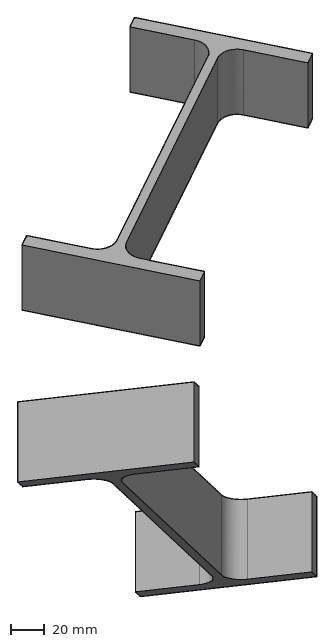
import cadquery as cq

beam_depth = 220.0
flange_width = 110.0
beam_length = 50.0
flange_thickness = 9.2
web_thickness = 6.0
root_radius = 12.0

flange_offset = (beam_depth - flange_thickness) / 2


def make_flange(y_center):
    """Flat flange plate centred at the given Y."""
    return (
        cq.Workplane("XY")
        .center(0, y_center)
        .rect(flange_width, flange_thickness)
        .extrude(beam_length)
    )


beam = cq.Workplane("XY").rect(web_thickness, beam_depth).extrude(beam_length)

for side in (-1, 1):
    beam = beam.union(make_flange(side * flange_offset))

root_corners = cq.selectors.BoxSelector(
    (-web_thickness, -flange_offset, 0),
    (web_thickness, flange_offset, beam_length),
)
result = beam.clean().edges("|Z").edges(root_corners).fillet(root_radius)